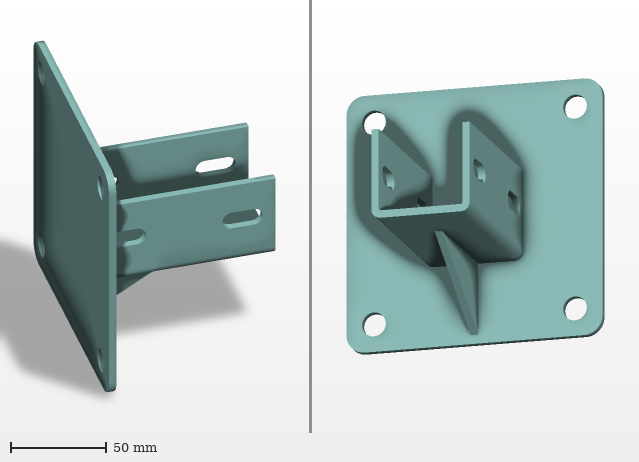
import cadquery as cq

plate_size = 140.0
sheet = 4.0
plate_corner_radius = 10.0
hole_diameter = 13.0
hole_spacing = 110.0

total_depth = 104.0
channel_width = 53.9
channel_top = 22.1
channel_bottom = -26.5
inner_bend_radius = 1.0
outer_bend_radius = inner_bend_radius + sheet
channel_height = channel_top - channel_bottom
channel_length = total_depth - sheet

slot_length = 22.0
slot_height = 10.0
slot_spacing = 64.0
far_slot_to_end = 18.0

gusset_length = 67.2
gusset_tip = -65.0


def make_plate():
    plate = cq.Workplane("XY").box(plate_size, sheet, plate_size, centered=(True, False, True))
    plate = plate.edges("|Y").fillet(plate_corner_radius)
    holes = (
        cq.Workplane("XZ")
        .rect(hole_spacing, hole_spacing, forConstruction=True)
        .vertices()
        .circle(hole_diameter / 2)
        .extrude(-sheet)
    )
    return plate.cut(holes)


def make_channel():
    outer = (
        cq.Workplane("XY")
        .box(channel_width, channel_length, channel_height, centered=(True, False, False))
        .edges("|Y and <Z")
        .fillet(outer_bend_radius)
    )
    inner = (
        cq.Workplane("XY")
        .box(channel_width - 2 * sheet, channel_length, channel_height, centered=(True, False, False))
        .edges("|Y and <Z")
        .fillet(inner_bend_radius)
        .translate((0, 0, sheet))
    )
    return outer.cut(inner).translate((0, sheet, channel_bottom))


def make_slots():
    far_slot = total_depth - far_slot_to_end
    return (
        cq.Workplane("YZ")
        .pushPoints([(far_slot, 0), (far_slot - slot_spacing, 0)])
        .slot2D(slot_length, slot_height)
        .extrude(channel_width / 2, both=True)
    )


def make_gusset():
    return (
        cq.Workplane("YZ")
        .moveTo(sheet, channel_bottom)
        .lineTo(sheet + gusset_length, channel_bottom)
        .lineTo(sheet, gusset_tip)
        .close()
        .extrude(sheet / 2, both=True)
    )


result = make_plate().union(make_channel().cut(make_slots())).union(make_gusset())